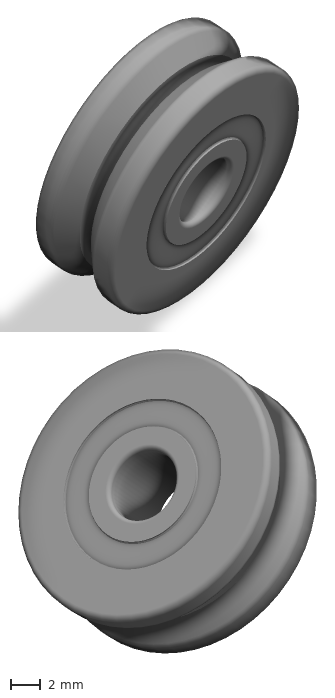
import cadquery as cq
import math

width = 6.96
outer_radius = 9.79
rim_fillet = 0.42

slot_radius = 0.5
slot_bottom_radius = 7.45
slot_top_radius = 8.45
v_edge_fillet = 0.5
v_half_angle = math.radians(45)

bore_radius = 2.55
bore_fillet = 0.3

recess_inner_radius = 4.15
recess_outer_radius = 6.13
recess_depth = 0.2
recess_floor_chamfer = 0.08

half_width = width / 2


def make_blank():
    """Plain wheel with its bore, rounded at the rims and the bore mouths."""
    blank = (
        cq.Workplane("YZ")
        .workplane(offset=-half_width)
        .circle(outer_radius)
        .circle(bore_radius)
        .extrude(width)
    )
    bore_selector = cq.selectors.RadiusNthSelector(0)
    rim_selector = cq.selectors.RadiusNthSelector(-1)
    blank = blank.edges("%CIRCLE").edges(bore_selector).fillet(bore_fillet)
    return blank.edges("%CIRCLE").edges(rim_selector).fillet(rim_fillet)


def revolve_about_x(profile):
    """Turn a closed profile, with radius along Y, about the X axis."""
    return profile.close().revolve(360, (0, 0, 0), (1, 0, 0))


def make_belt_groove():
    """Cutter for the round-bottomed slot and the V with rounded outer edges."""
    v_half_width = slot_radius + (outer_radius - slot_top_radius) * math.tan(v_half_angle)
    edge_turn = math.pi / 2 - v_half_angle
    fillet_start = v_half_width + v_edge_fillet * math.tan(edge_turn / 2)

    def fillet_point(turn):
        x = fillet_start - v_edge_fillet * math.sin(turn)
        radius = outer_radius - v_edge_fillet * (1 - math.cos(turn))
        return x, radius

    def mirrored(point):
        return -point[0], point[1]

    edge_middle = fillet_point(edge_turn / 2)
    edge_end = fillet_point(edge_turn)
    slot_top = (slot_radius, slot_top_radius)
    slot_arc_end = (slot_radius, slot_bottom_radius + slot_radius)
    clearance_radius = outer_radius + v_edge_fillet

    profile = (
        cq.Workplane("XY")
        .moveTo(-fillet_start, outer_radius)
        .threePointArc(mirrored(edge_middle), mirrored(edge_end))
        .lineTo(*mirrored(slot_top))
        .lineTo(*mirrored(slot_arc_end))
        .threePointArc((0, slot_bottom_radius), slot_arc_end)
        .lineTo(*slot_top)
        .lineTo(*edge_end)
        .threePointArc(edge_middle, (fillet_start, outer_radius))
        .lineTo(fillet_start, clearance_radius)
        .lineTo(-fillet_start, clearance_radius)
    )
    return revolve_about_x(profile)


def make_face_recess(side):
    """Cutter for the ring recess in the end face at side * half_width."""
    face_x = side * half_width
    wall_end_x = side * (half_width - recess_depth + recess_floor_chamfer)
    floor_x = side * (half_width - recess_depth)
    profile = (
        cq.Workplane("XY")
        .moveTo(face_x, recess_inner_radius)
        .lineTo(wall_end_x, recess_inner_radius)
        .lineTo(floor_x, recess_inner_radius + recess_floor_chamfer)
        .lineTo(floor_x, recess_outer_radius - recess_floor_chamfer)
        .lineTo(wall_end_x, recess_outer_radius)
        .lineTo(face_x, recess_outer_radius)
    )
    return revolve_about_x(profile)


result = make_blank().cut(make_belt_groove())
for end in (-1, 1):
    result = result.cut(make_face_recess(end))